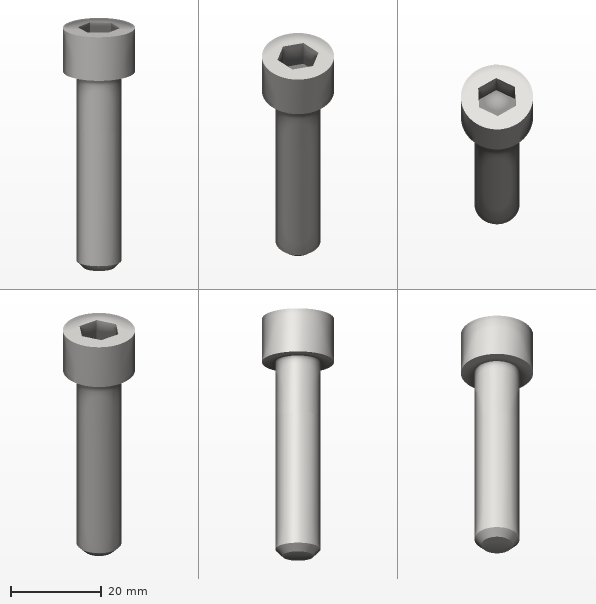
import cadquery as cq
import math

total_length = 55.0
head_diameter = 16.0
head_height = 10.0
shank_diameter = 10.0
thread_length = 32.0

socket_across_flats = 8.15
socket_depth = 6.0

tip_chamfer = 1.55

top_z = total_length / 2
tip_z = -total_length / 2
head_base_z = top_z - head_height
thread_top_z = tip_z + thread_length
head_radius = head_diameter / 2
shank_radius = shank_diameter / 2


def cylinder(radius, bottom_z, height):
    return cq.Workplane("XY").workplane(offset=bottom_z).circle(radius).extrude(height)


def make_head():
    across_corners = socket_across_flats / math.cos(math.pi / 6)
    socket = (
        cq.Workplane("XY")
        .workplane(offset=top_z - socket_depth)
        .polygon(6, across_corners)
        .extrude(socket_depth)
    )
    return cylinder(head_radius, head_base_z, head_height).cut(socket)


def make_plain_shank():
    return cylinder(shank_radius, thread_top_z, head_base_z - thread_top_z)


def make_thread():
    return cylinder(shank_radius, tip_z, thread_length).faces("<Z").chamfer(tip_chamfer)


result = make_thread().union(make_plain_shank(), clean=False).union(make_head(), clean=False)